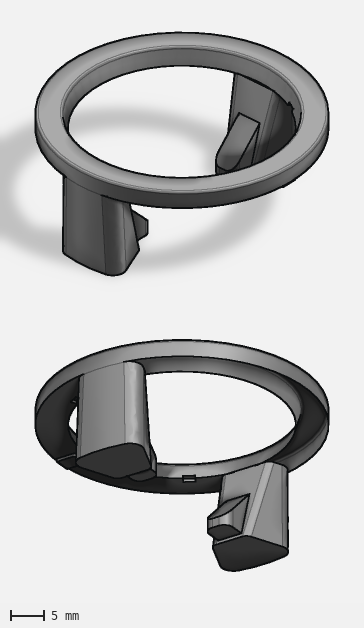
import cadquery as cq
import math

outer_radius = 22.0
inner_top_radius = 17.85
inner_bottom_radius = 17.05
ring_height = 2.95
top_round = 0.4

total_height = 16.9
side_slope = 0.41
leg_inner_bottom_y = 12.8
leg_inner_half_width = 3.12
inner_face_run = 9.0
left_draft_run = 0.3
right_draft_run = 1.6
outer_corner_radius = 2.09
inner_corner_radius = 1.15

hook_width = 4.2
hook_tip_y = 9.05
hook_bottom_z = -16.2
hook_tip_height = 1.55
hook_corner_radius = 1.5
hook_root_y = 15.3

pad_inner_x = 18.2
pad_outer_x = 21.6
pad_width = 2.8
pad_height = 0.55
pad_corner_radius = 0.55

notch_angles = (60, -60)
notch_width = 1.85
notch_height = 0.55
notch_outer_radius = 18.2

leg_height = total_height - ring_height


def make_ring():
    profile = (
        cq.Workplane("XZ")
        .moveTo(inner_bottom_radius, -ring_height)
        .lineTo(outer_radius, -ring_height)
        .lineTo(outer_radius, -top_round)
        .radiusArc((outer_radius - top_round, 0), -top_round)
        .lineTo(inner_top_radius + top_round, 0)
        .radiusArc((inner_top_radius, -top_round), -top_round)
        .close()
    )
    notched_ring = profile.revolve(360, (0, 0, 0), (0, 1, 0))
    notch_length = notch_outer_radius - inner_bottom_radius + ring_height
    for angle in notch_angles:
        notch = (
            cq.Workplane("XY")
            .box(notch_length, notch_width, notch_height, centered=(False, True, False))
            .translate((notch_outer_radius - notch_length, 0, -ring_height))
            .rotate((0, 0, 0), (0, 0, 1), angle)
        )
        notched_ring = notched_ring.cut(notch)
    return notched_ring


def leg_section(z, lean):
    """Wedge section; lean is 0 at the foot and 1 at the underside of the ring."""
    inner_y = leg_inner_bottom_y + lean * inner_face_run

    def half_width(y, draft_run):
        spread = side_slope * (y - leg_inner_bottom_y)
        return leg_inner_half_width + spread - lean * draft_run

    def outer_corner(draft_run):
        offset = half_width(0, draft_run)
        a = 1 + side_slope ** 2
        b = offset * side_slope
        c = offset ** 2 - outer_radius ** 2
        y = (-b + math.sqrt(b ** 2 - a * c)) / a
        return half_width(y, draft_run), y

    left_x, left_y = outer_corner(left_draft_run)
    right_x, right_y = outer_corner(right_draft_run)
    outline = (
        cq.Workplane("XY", origin=(0, 0, z))
        .moveTo(-half_width(inner_y, left_draft_run), inner_y)
        .lineTo(-left_x, left_y)
        .threePointArc((0, outer_radius), (right_x, right_y))
        .lineTo(half_width(inner_y, right_draft_run), inner_y)
        .close()
    )
    return outline.wire().val()


def upright_edges(solid, outermost):
    """The outermost or innermost pair of edges that run from foot to head."""
    edges = [edge for edge in solid.Edges() if edge.BoundingBox().zlen > leg_height / 2]
    edges.sort(key=lambda edge: edge.Center().y)
    return edges[-2:] if outermost else edges[:2]


def make_leg():
    foot = leg_section(-total_height, 0)
    head = leg_section(-ring_height, 0.45)
    solid = cq.Solid.makeLoft([foot, head], True)
    solid = solid.fillet(outer_corner_radius, upright_edges(solid, outermost=True))
    solid = solid.fillet(inner_corner_radius, upright_edges(solid, outermost=False))
    return cq.Workplane(solid)


def make_hook():
    tip_z = hook_bottom_z + hook_tip_height
    root_z = tip_z + hook_root_y - hook_tip_y
    return (
        cq.Workplane("YZ")
        .moveTo(hook_tip_y, hook_bottom_z)
        .lineTo(hook_tip_y, tip_z)
        .lineTo(hook_root_y, root_z)
        .lineTo(hook_root_y, hook_bottom_z)
        .close()
        .extrude(hook_width / 2, both=True)
        .edges("|Z and <Y")
        .fillet(hook_corner_radius)
    )


def make_pad():
    return (
        cq.Workplane("XY")
        .box(pad_outer_x - pad_inner_x, pad_width, pad_height, centered=(False, True, False))
        .translate((pad_inner_x, 0, -ring_height - pad_height))
        .edges("|Z and <X")
        .fillet(pad_corner_radius)
    )


hooked_leg = make_leg().union(make_hook())
result = (
    make_ring()
    .union(hooked_leg)
    .union(hooked_leg.mirror("XZ"))
    .union(make_pad())
)